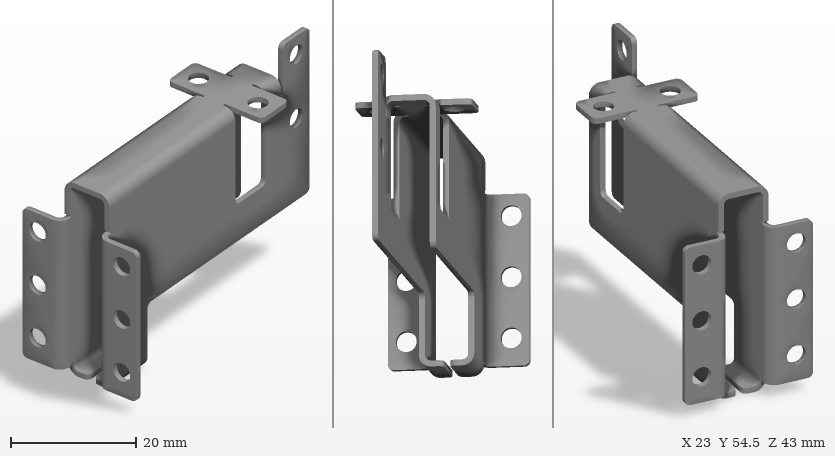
import cadquery as cq


thickness = 1.0
bend_outer = 1.95
bend_inner = bend_outer - thickness
corner_radius = 1.0
relief = 0.5
hole_diameter = 3.4

total_length = 54.5
total_height = 43.0
channel_width = 9.0
channel_top = 37.0
channel_front = bend_outer
channel_rear = 47.0
wall_bottom = 12.0
half_width = channel_width / 2

foot_front = 3.0
foot_rear = 12.0
foot_gap = 1.0

flange_span = 23.0
flange_bottom = bend_outer
flange_top = 30.05
flange_hole_spacing = 17.0
flange_hole_pitch = 10.0
lowest_flange_hole = 6.55
flange_hole_count = 3

window_front = 35.0
window_rear = 43.0
window_bottom = 19.0
tab_span = 19.0
tab_neck_width = 4.0
tab_hole_spacing = 12.0
tab_front = window_front + relief
tab_rear = window_rear - relief
tab_middle = (tab_front + tab_rear) / 2

ear_width = 7.0
ear_slit_bottom = 33.5
ear_front = total_length - ear_width
ear_hole_pitch = 12.0
ear_hole_inset = ear_width / 2


def box(x_range, y_range, z_range):
    """Box spanning the given (low, high) ranges."""
    lows, highs = zip(x_range, y_range, z_range)
    sizes = [high - low for low, high in zip(lows, highs)]
    return cq.Workplane("XY").box(*sizes, centered=False).translate(lows)


def both_sides(shape):
    """The +X shape together with its mirror image on -X."""
    return shape.union(shape.mirror("YZ"))


def folded_section():
    """Closed tube section with rounded bends, split along the bottom between the feet."""
    def rounded_bar(inset, radius):
        bar = box(
            (inset - half_width, half_width - inset),
            (0, channel_rear),
            (inset, channel_top - inset),
        )
        return bar.edges("|Y").fillet(radius)

    gap = box((-foot_gap / 2, foot_gap / 2), (0, channel_rear), (0, thickness))
    return rounded_bar(0, bend_outer).cut(rounded_bar(thickness, bend_inner)).cut(gap)


def side_outline():
    """Wall silhouette in the YZ plane, carried across the full channel width."""
    slit_rear = channel_front + relief
    outline = [
        (channel_front, channel_top),
        (channel_rear, channel_top),
        (channel_rear, wall_bottom),
        (foot_rear, wall_bottom),
        (foot_rear, 0),
        (foot_front, 0),
        (foot_front, flange_bottom + relief),
        (slit_rear, flange_bottom + relief),
        (slit_rear, flange_bottom),
        (channel_front, flange_bottom),
        (channel_front, flange_top),
        (slit_rear, flange_top),
        (slit_rear, flange_top + relief),
        (channel_front, flange_top + relief),
    ]
    slab = cq.Workplane("YZ").polyline(outline).close().extrude(half_width, both=True)
    rounded_corners = cq.selectors.BoxSelector(
        (-half_width, foot_rear - relief, wall_bottom - relief),
        (half_width, channel_rear + relief, wall_bottom + relief),
    )
    return slab.edges("|X").edges(rounded_corners).fillet(corner_radius)


def channel():
    """U channel with feet, with the foot tips rounded in plan."""
    body = folded_section().intersect(side_outline())
    foot_tips = cq.selectors.BoxSelector(
        (-foot_gap, 0, 0),
        (foot_gap, foot_rear + relief, thickness),
    )
    return body.edges("|Z").edges(foot_tips).fillet(corner_radius)


def window():
    """Opening in the +X wall and bend, leaving the neck of the tab."""
    opening = box(
        (0, half_width),
        (window_front, window_rear),
        (window_bottom, channel_top),
    )
    opening = opening.edges("|X and <Z").fillet(corner_radius)
    neck = box(
        (0, tab_neck_width / 2),
        (window_front, window_rear),
        (channel_top - thickness, channel_top),
    )
    return opening.cut(neck)


def tab():
    """Flat cross tab with a hole at each end."""
    plate = box(
        (-tab_span / 2, tab_span / 2),
        (tab_front, tab_rear),
        (channel_top - thickness, channel_top),
    )
    plate = plate.edges("|Z").fillet(corner_radius)
    holes = (
        cq.Workplane("XY", origin=(0, tab_middle, 0))
        .rarray(tab_hole_spacing, 0.55, 2, 1)
        .circle(hole_diameter / 2)
        .extrude(channel_top)
    )
    return plate.cut(holes)


def flange():
    """Outward flange of the +X wall, with its bend and column of holes."""
    bend_end = half_width + bend_inner
    wall_inside = half_width - thickness
    plate = (
        cq.Workplane("XY", origin=(0, 0, flange_bottom))
        .moveTo(wall_inside, channel_front)
        .radiusArc((bend_end, 0), -bend_outer)
        .lineTo(flange_span / 2, 0)
        .lineTo(flange_span / 2, thickness)
        .lineTo(bend_end, thickness)
        .radiusArc((half_width, channel_front), bend_inner)
        .close()
        .extrude(flange_top - flange_bottom)
    )
    plate = plate.faces(">X").edges("|Y").fillet(corner_radius)
    hole_centres = [
        (flange_hole_spacing / 2, lowest_flange_hole + row * flange_hole_pitch)
        for row in range(flange_hole_count)
    ]
    holes = (
        cq.Workplane("XZ")
        .pushPoints(hole_centres)
        .circle(hole_diameter / 2)
        .extrude(-thickness)
    )
    return plate.cut(holes)


def ear():
    """Upright rear extension of the +X wall, separated from the channel top by a slit."""
    wall = (half_width - thickness, half_width)
    plate = box(wall, (ear_front, total_length), (wall_bottom, total_height))
    plate = plate.edges("|X and (>Y or >Z)").fillet(corner_radius)
    root = box(
        wall,
        (channel_rear - corner_radius, ear_front),
        (wall_bottom, ear_slit_bottom),
    )
    top_hole = total_height - ear_hole_inset
    hole_y = total_length - ear_hole_inset
    holes = (
        cq.Workplane("YZ")
        .pushPoints([(hole_y, top_hole), (hole_y, top_hole - ear_hole_pitch)])
        .circle(hole_diameter / 2)
        .extrude(half_width)
    )
    return plate.union(root).cut(holes)


result = (
    channel()
    .cut(both_sides(window()))
    .union(tab())
    .union(both_sides(flange()))
    .union(ear())
)